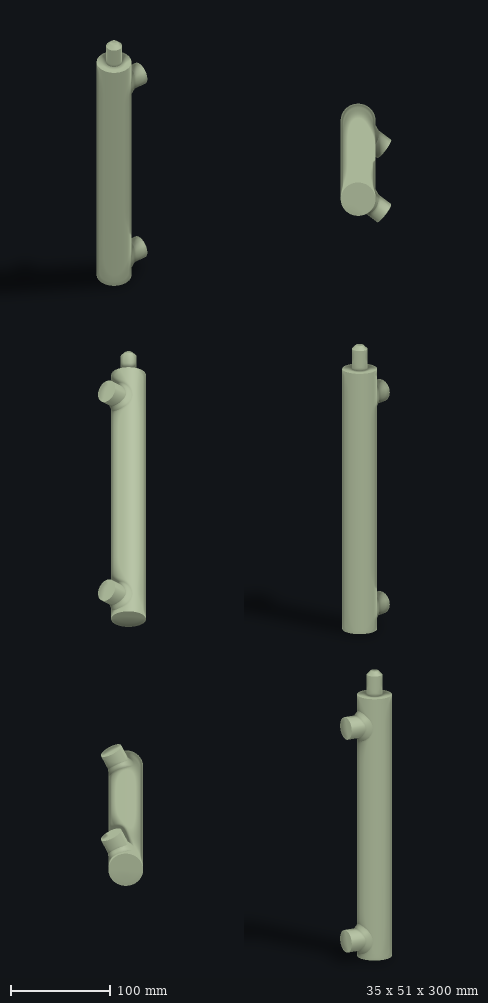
import cadquery as cq

total_height = 300.0
tube_diameter = 35.0
tube_radius = tube_diameter / 2

cap_height = 2.7
spacer_height = 2.5
gland_height = 6.0

rod_diameter = 16.0
rod_projection = 25.0
rod_tip_bevel = 4.0

port_diameter = 23.0
total_depth = 51.0
port_end_y = total_depth - tube_radius
port_heights = (20.0, 244.2)
weld_leg = 4.0

spacer_top = cap_height + spacer_height
gland_top = total_height - rod_projection
gland_bottom = gland_top - gland_height


def vertical_cylinder(diameter, bottom, top):
    """Cylinder on the Z axis whose seam lies on the -Y side, away from the ports."""
    plane = cq.Plane(origin=(0, 0, bottom), xDir=(0, -1, 0), normal=(0, 0, 1))
    return cq.Workplane(plane).circle(diameter / 2).extrude(top - bottom)


def port_cylinder(center_z):
    """Plain cylinder from the tube axis out to the port face."""
    plane = cq.Plane(origin=(0, 0, center_z), xDir=(1, 0, 0), normal=(0, 1, 0))
    return cq.Workplane(plane).circle(port_diameter / 2).extrude(port_end_y)


def make_port(center_z):
    """Port stub whose inner end is shaped to sit on the tube."""
    return port_cylinder(center_z).cut(tube)


def make_weld(center_z):
    """Bevelled weld bead around the saddle joint of a port and the tube."""
    port = port_cylinder(center_z)
    barrel = vertical_cylinder(tube_diameter, center_z - port_diameter, center_z + port_diameter)
    joined = barrel.union(port)
    bevelled = joined.edges("not(%LINE or %CIRCLE)").chamfer(weld_leg)
    return bevelled.cut(barrel).cut(port)


tube = vertical_cylinder(tube_diameter, spacer_top, gland_bottom)

cap = vertical_cylinder(tube_diameter, 0, cap_height)
spacer = vertical_cylinder(tube_diameter, cap_height, spacer_top)

rod = vertical_cylinder(rod_diameter, gland_bottom, total_height).faces(">Z").chamfer(rod_tip_bevel)

gland = vertical_cylinder(tube_diameter, gland_bottom, gland_top).cut(rod)

ports = [make_port(z).val() for z in port_heights]
welds = [make_weld(z).val() for z in port_heights]

result = cq.Compound.makeCompound([tube.val(), cap.val(), spacer.val(), rod.val(), gland.val(), *ports, *welds])